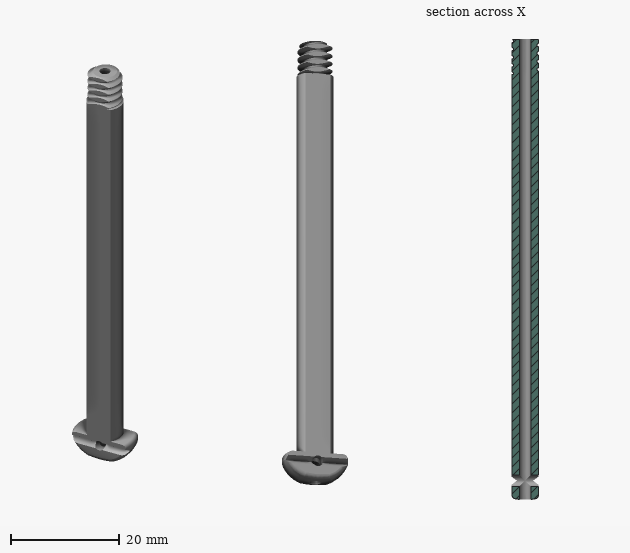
import cadquery as cq

total_length = 85.0
thickness = 5.0

rod_diameter = 6.9
rod_top = 78.5
bore_diameter = 2.0

head_diameter = 12.2
head_height = 5.1
head_foot_radius = 3.1
head_foot_rise = 0.3
head_rim_bottom = 3.65
head_top_round = 0.8
head_edge_round = 0.8
head_bulge = (4.8, 1.5)

notch_height = 1.5
notch_depth = 1.0
notch_z = 3.5
cross_hole_diameter = 2.0
selection_gap = 0.1

thread_major_diameter = 6.5
thread_core_diameter = 4.4
thread_crest_width = 0.13
thread_root_width = 1.3
thread_start = 77.5
thread_full_turns = 5
thread_pitch = (total_length - thread_start) / thread_full_turns
thread_lead_height = 0.4
thread_overlap = 0.1


def flat_sided(body):
    """Trim a body to the space between the two flats."""
    slab = cq.Workplane("XY").box(
        head_diameter, thickness, total_length, centered=(True, True, False)
    )
    return body.intersect(slab)


def make_head():
    """Round-bottomed T head with notched flats, rounded along their lower edges."""
    rim = head_diameter / 2
    profile = (
        cq.Workplane("XZ")
        .lineTo(bore_diameter / 2, 0)
        .lineTo(head_foot_radius, head_foot_rise)
        .threePointArc(head_bulge, (rim, head_rim_bottom))
        .lineTo(rim, head_height - head_top_round)
        .radiusArc((rim - head_top_round, head_height), -head_top_round)
        .lineTo(0, head_height)
        .close()
    )
    head = flat_sided(profile.revolve(360, (0, 0, 0), (0, 1, 0))).cut(make_notches())
    notch_bottom = notch_z - notch_height / 2
    underside = cq.selectors.BoxSelector(
        (-head_diameter, -thickness, 0),
        (head_diameter, thickness, notch_bottom - selection_gap),
    )
    lower_edges = head.faces("<Y or >Y").edges(underside)
    return lower_edges.fillet(head_edge_round)


def make_rod():
    """Round rod with two flats."""
    rod = (
        cq.Workplane("XY")
        .workplane(offset=head_height)
        .circle(rod_diameter / 2)
        .extrude(rod_top - head_height)
    )
    return flat_sided(rod)


def make_thread():
    """Right-handed thread on a core, trimmed at the end and at the flats."""
    core_radius = thread_core_diameter / 2
    root_radius = core_radius - thread_overlap
    crest_radius = thread_major_diameter / 2
    ridge_length = (thread_full_turns + 1) * thread_pitch
    core = (
        cq.Workplane("XY")
        .workplane(offset=thread_start)
        .circle(core_radius)
        .extrude(total_length - thread_start)
    )
    path = cq.Workplane(
        cq.Wire.makeHelix(thread_pitch, ridge_length, crest_radius, cq.Vector(0, 0, thread_start))
    )
    ridge = (
        cq.Workplane("XZ")
        .moveTo(root_radius, thread_start - thread_root_width / 2)
        .lineTo(crest_radius, thread_start - thread_crest_width / 2)
        .lineTo(crest_radius, thread_start + thread_crest_width / 2)
        .lineTo(root_radius, thread_start + thread_root_width / 2)
        .close()
        .sweep(path, isFrenet=True)
    )
    envelope = (
        cq.Workplane("XZ")
        .lineTo(head_diameter / 2, 0)
        .lineTo(head_diameter / 2, total_length - thread_lead_height)
        .lineTo(crest_radius, total_length - thread_lead_height)
        .lineTo(core_radius, total_length)
        .lineTo(0, total_length)
        .close()
        .revolve(360, (0, 0, 0), (0, 1, 0))
    )
    return flat_sided(ridge.intersect(envelope)).union(core)


def make_notches():
    """V notches running along X in both flats of the head."""
    half_height = notch_height / 2
    notches = cq.Workplane("YZ")
    for side in (-1, 1):
        flat_y = side * thickness / 2
        notches = notches.polyline(
            [
                (flat_y, notch_z - half_height),
                (flat_y - side * notch_depth, notch_z),
                (flat_y, notch_z + half_height),
            ]
        ).close()
    return notches.extrude(head_diameter / 2, both=True)


def make_holes():
    """Lengthwise bore and the cross hole between the notches."""
    bore = cq.Workplane("XY").circle(bore_diameter / 2).extrude(total_length)
    cross_hole = (
        cq.Workplane("XZ")
        .center(0, notch_z)
        .circle(cross_hole_diameter / 2)
        .extrude(thickness, both=True)
    )
    return bore.union(cross_hole)


result = make_head().union(make_rod()).union(make_thread()).cut(make_holes())